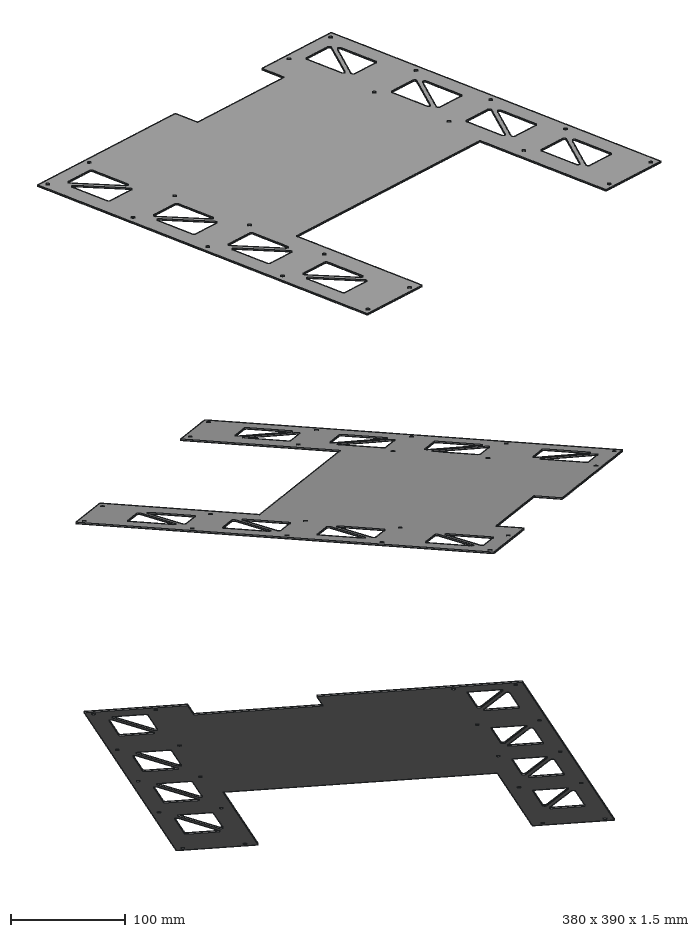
import cadquery as cq
import math

length_x = 380.0
width_y = 390.0
thickness = 1.5

arm_width = 73.0
gap_start_from_left = 234.8

notch_depth = 25.7
notch_top_from_edge = 92.0
notch_height = 115.0

hole_diameter = 3.25
outer_column_x = 184.5
inner_column_x = 86.0
outer_row_inset = 7.0
row_spacing = 55.5

window_length = 52.0
window_height = 36.3
window_from_column = 36.3
strut_width = 4.3
window_corner_radius = 2.0

hole_columns = [-outer_column_x, -inner_column_x, 0, inner_column_x, outer_column_x]
window_centers_x = [x + window_from_column for x in hole_columns[:-1]]
outer_row_y = width_y / 2 - outer_row_inset
inner_row_y = outer_row_y - row_spacing
window_center_y = (outer_row_y + inner_row_y) / 2


def make_plate():
    left = -length_x / 2
    right = length_x / 2
    top = width_y / 2
    gap_x = left + gap_start_from_left
    gap_y = top - arm_width
    notch_x = left + notch_depth
    notch_top = top - notch_top_from_edge
    notch_bottom = notch_top - notch_height
    outline = [
        (left, -top),
        (right, -top),
        (right, -gap_y),
        (gap_x, -gap_y),
        (gap_x, gap_y),
        (right, gap_y),
        (right, top),
        (left, top),
        (left, notch_top),
        (notch_x, notch_top),
        (notch_x, notch_bottom),
        (left, notch_bottom),
    ]
    return cq.Workplane("XY").polyline(outline).close().extrude(thickness)


def half_window(center_x, turn, side):
    """One of the two right-triangle openings beside a strut, with rounded corners.

    turn = 1 is the half away from the plate's middle and toward +X, and turn = -1 is
    the same shape turned by 180 degrees about the window centre.
    side = 1 is the +Y edge of the plate and side = -1 its mirror image.
    """
    half_x = window_length / 2
    half_y = window_height / 2
    strut_rise = strut_width / 2 * math.hypot(window_length, window_height) / window_length
    strut_run = strut_width / 2 * math.hypot(window_length, window_height) / window_height
    corners = [
        (half_x, half_y),
        (half_x, strut_rise - half_y),
        (strut_run - half_x, half_y),
    ]
    points = [(center_x + turn * x, side * (window_center_y + turn * y)) for x, y in corners]
    triangle = cq.Workplane("XY").polyline(points).close().extrude(thickness)
    return triangle.edges("|Z").fillet(window_corner_radius)


result = make_plate()

hole_points = [
    (x, side * y) for x in hole_columns for y in (outer_row_y, inner_row_y) for side in (1, -1)
]
holes = cq.Workplane("XY").pushPoints(hole_points).circle(hole_diameter / 2).extrude(thickness)
result = result.cut(holes)

for window_x in window_centers_x:
    for plate_side in (1, -1):
        for half_turn in (1, -1):
            result = result.cut(half_window(window_x, half_turn, plate_side))